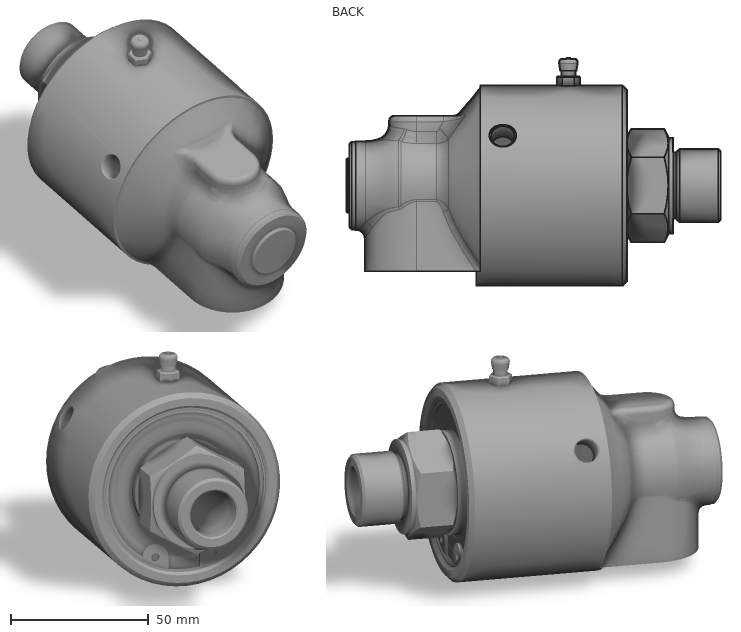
import cadquery as cq
import math


thread_radius = 13.3
thread_chamfer = 1.0
thread_end = 15.0
relief_radius = 12.1
relief_end = 17.3
collar_radius = 17.5
hex_start = 18.9
hex_end = 34.2
hex_corner_radius = 20.63
hex_flat_radius = hex_corner_radius * math.cos(math.radians(30))
hex_bevel_length = 1.6
journal_radius = 19.2
flow_bore_radius = 8.7
flow_bore_chamfer = 0.5

barrel_radius = 36.5
barrel_start = 34.0
barrel_end = 87.5
barrel_chamfer = 1.8
cone_root_x = 83.1
cone_radius = 35.5
cone_small_radius = 21.7
cone_small_x = 99.0
neck_radius = 19.55
neck_start = 103.5
neck_end = 116.3
taper_start = 117.3
taper_start_radius = 19.41
taper_start_slope = -0.26
tail_radius = 16.2
tail_start = 129.2
rim_start = 132.6
rim_radius = 16.0
tail_end = 135.1
rim_chamfer = 1.0
stub_radius = 10.0
stub_chamfer = 0.5
overall_length = 136.2

mouth_radius = 31.9
mouth_depth = 1.0
bore_radius = 30.9
seat_radius = 30.2
seat_x = 35.4
ledge_radius = 26.8
plate_radius = 25.3
clip_inner_radius = 28.9
clip_thickness = 1.2
clip_start = 36.1
ledge_x = clip_start + clip_thickness
plate_x = 37.6
seal_gap_radius = 20.63
seal_gap_end = plate_x + 0.5
journal_end = plate_x + 4.1
lug_offset_y = 10.9
lug_offset_z = -24.9
lug_radius = 4.9
lug_hole_diameter = 3.1

port_x = 110.7
block_half_width = 18.8
block_bottom = -31.2
block_overrun = 2.0
block_fillet = 2.7
lip_end = 89.0
boss_half_width = 10.0
boss_top = 25.5
boss_top_fillet = 2.2
boss_foot_fillet = 5.5

spanner_x = 79.3
spanner_angle = 30
spanner_diameter = 8.6
spanner_mouth_diameter = 9.8
spanner_depth = 8.5
spanner_bevel = 0.7

fitting_x = 55.4
fitting_corner_diameter = 8.6
fitting_hex_top = 39.8
fitting_hex_bevel = 0.4
fitting_neck_radius = 2.65
fitting_ball_radius = 3.4
fitting_ball_bottom = 41.8
fitting_ball_edge_radius = 3.0
fitting_ball_middle = 44.4
fitting_ball_top = 46.0
fitting_nipple_radius = 0.61
fitting_top = 46.5


def turned(outline):
    """Revolve an (x, radius) outline, drawn in the XY plane, about the X axis."""
    return outline.close().revolve(360, (0, 0, 0), (1, 0, 0))


def disc(radius, start, end):
    """Cylinder on the X axis between two stations."""
    return cq.Workplane("YZ", origin=(start, 0, 0)).circle(radius).extrude(end - start)


def make_rotor():
    stem = turned(
        cq.Workplane("XY")
        .moveTo(0, 0)
        .lineTo(0, thread_radius - thread_chamfer)
        .lineTo(thread_chamfer, thread_radius)
        .lineTo(thread_end, thread_radius)
        .lineTo(thread_end + thread_radius - relief_radius, relief_radius)
        .lineTo(relief_end, relief_radius)
        .lineTo(relief_end, collar_radius)
        .lineTo(hex_start, collar_radius)
        .lineTo(hex_start, 0)
    )
    hexagon = (
        cq.Workplane("YZ", origin=(hex_start, 0, 0))
        .polygon(6, 2 * hex_corner_radius)
        .extrude(hex_end - hex_start)
        .rotate((0, 0, 0), (1, 0, 0), 90)
    )
    bevelled_envelope = turned(
        cq.Workplane("XY")
        .moveTo(hex_start, 0)
        .lineTo(hex_start, collar_radius)
        .lineTo(hex_start + hex_bevel_length, hex_corner_radius)
        .lineTo(hex_end - hex_bevel_length, hex_corner_radius)
        .lineTo(hex_end, hex_flat_radius)
        .lineTo(hex_end, 0)
    )
    journal = disc(journal_radius, hex_end, journal_end)
    rotor = stem.union(hexagon.intersect(bevelled_envelope)).union(journal)
    flow_bore = disc(flow_bore_radius, 0, journal_end)
    bore_mouth = turned(
        cq.Workplane("XY")
        .moveTo(0, 0)
        .lineTo(0, flow_bore_radius + flow_bore_chamfer)
        .lineTo(flow_bore_chamfer, flow_bore_radius)
        .lineTo(flow_bore_chamfer, 0)
    )
    return rotor.cut(flow_bore).cut(bore_mouth)


def make_barrel():
    """Bevelled cylinder, with a lip left standing below the level of the outlet block."""
    barrel = turned(
        cq.Workplane("XY")
        .moveTo(barrel_start, 0)
        .lineTo(barrel_start, barrel_radius - barrel_chamfer)
        .lineTo(barrel_start + barrel_chamfer, barrel_radius)
        .lineTo(barrel_end, barrel_radius)
        .lineTo(barrel_end, 0)
    )
    below_block = cq.Workplane("XY", origin=(0, 0, block_bottom)).rect(
        2 * overall_length, 2 * barrel_radius
    ).extrude(-barrel_radius)
    return barrel.union(disc(barrel_radius, barrel_end, lip_end).intersect(below_block))


def make_cone_and_tail():
    """Cone, neck and tapered tail; the cone is continued into the barrel and trimmed later."""
    cone_slope = (cone_radius - cone_small_radius) / (cone_small_x - barrel_end)
    return turned(
        cq.Workplane("XY")
        .moveTo(cone_root_x, 0)
        .lineTo(cone_root_x, cone_radius + cone_slope * (barrel_end - cone_root_x))
        .lineTo(cone_small_x, cone_small_radius)
        .tangentArcPoint((neck_start, neck_radius), relative=False)
        .lineTo(neck_end, neck_radius)
        .tangentArcPoint((taper_start, taper_start_radius), relative=False)
        .spline(
            [(tail_start, tail_radius)],
            tangents=[(1, taper_start_slope), (1, 0)],
            includeCurrent=True,
        )
        .lineTo(rim_start, tail_radius)
        .lineTo(rim_start, rim_radius)
        .lineTo(tail_end - rim_chamfer, rim_radius)
        .lineTo(tail_end, rim_radius - rim_chamfer)
        .lineTo(tail_end, stub_radius)
        .lineTo(overall_length - stub_chamfer, stub_radius)
        .lineTo(overall_length, stub_radius - stub_chamfer)
        .lineTo(overall_length, 0)
    )


def round_ended_pad(half_width, start, bottom, top):
    """Vertical pad from x = start, closed by a half circle about the port axis."""
    return (
        cq.Workplane("XY", origin=(0, 0, bottom))
        .moveTo(start, -half_width)
        .lineTo(port_x, -half_width)
        .threePointArc((port_x + half_width, 0), (port_x, half_width))
        .lineTo(start, half_width)
        .close()
        .extrude(top - bottom)
    )


def side_seam(edge):
    """True for the upright or level lines where a pad's flat side meets its round end."""
    return abs(edge.Center().x - port_x) < 0.1


def add_outlet_block(body):
    """Join the block, made deeper than its final bottom so that its fillets run out past the trim."""
    start = cone_root_x + 1.4
    rough_bottom = block_bottom - block_overrun
    body = body.union(round_ended_pad(block_half_width, start, rough_bottom, 0))
    joint = cq.selectors.BoxSelector(
        (start, -barrel_radius, rough_bottom + 1.4), (tail_start + 1.4, barrel_radius, -1.4)
    )
    edges = [
        edge
        for edge in body.edges(joint).vals()
        if edge.geomType() != "CIRCLE" and not side_seam(edge)
    ]
    return body.newObject(edges).fillet(block_fillet)


def add_boss(body):
    body = body.union(round_ended_pad(boss_half_width, barrel_end, 0, boss_top))
    joint = cq.selectors.BoxSelector(
        (barrel_end, -boss_half_width - 1.4, neck_radius / 2),
        (tail_start, boss_half_width + 1.4, boss_top - boss_top_fillet),
    )
    foot = [edge for edge in body.edges(joint).vals() if not side_seam(edge)]
    body = body.newObject(foot).fillet(boss_foot_fillet)
    top_face = cq.selectors.BoxSelector(
        (cone_small_x, -boss_half_width, boss_top - 0.1),
        (tail_start, boss_half_width, boss_top + 0.1),
    )
    return body.faces(top_face).edges().fillet(boss_top_fillet)


def trim_rear(body):
    """Keep what lies behind the barrel, inside its outline and above the block's flat bottom."""
    above_bottom = cq.Workplane("XY", origin=(0, 0, block_bottom)).rect(
        2 * overall_length, 2 * barrel_radius
    ).extrude(2 * barrel_radius)
    return body.intersect(disc(barrel_radius, barrel_end, overall_length).intersect(above_bottom))


def cut_front_recess(body):
    recess = turned(
        cq.Workplane("XY")
        .moveTo(barrel_start, 0)
        .lineTo(barrel_start, mouth_radius)
        .lineTo(barrel_start + mouth_depth, bore_radius)
        .lineTo(seat_x, bore_radius)
        .lineTo(seat_x, seat_radius)
        .lineTo(ledge_x, seat_radius)
        .lineTo(ledge_x, ledge_radius)
        .lineTo(plate_x, plate_radius)
        .lineTo(plate_x, seal_gap_radius)
        .lineTo(seal_gap_end, seal_gap_radius)
        .lineTo(seal_gap_end, journal_radius)
        .lineTo(journal_end, journal_radius)
        .lineTo(journal_end, 0)
    )
    return body.cut(recess)


def add_clip(body):
    """Retaining ring with two eared ends and a gap between the ears."""
    ring = disc(seat_radius, clip_start, ledge_x).cut(disc(clip_inner_radius, clip_start, ledge_x))
    gap_width = 2 * (lug_offset_y - lug_radius)
    gap = cq.Workplane("XY").box(overall_length, gap_width, barrel_radius, centered=(False, True, False))
    ring = ring.cut(gap.translate((0, 0, -barrel_radius)))
    inside_bore = disc(seat_radius, clip_start, ledge_x)
    face = cq.Workplane("YZ", origin=(clip_start, 0, 0))
    for side in (-1, 1):
        lug_y = side * lug_offset_y
        ear = face.center(lug_y, lug_offset_z).circle(lug_radius).extrude(clip_thickness)
        root = (
            face.center(lug_y, (lug_offset_z - seat_radius) / 2)
            .rect(2 * lug_radius, seat_radius + lug_offset_z)
            .extrude(clip_thickness)
        )
        hole = face.center(lug_y, lug_offset_z).circle(lug_hole_diameter / 2).extrude(clip_thickness)
        ring = ring.union(ear.union(root).intersect(inside_bore)).cut(hole)
    return body.union(ring)


def cut_spanner_holes(body):
    for side in (-1, 1):
        angle = math.radians(spanner_angle)
        outward = cq.Vector(0, side * math.cos(angle), math.sin(angle))
        mouth = cq.Vector(spanner_x, 0, 0) + outward * barrel_radius
        plane = cq.Plane(origin=mouth, xDir=(1, 0, 0), normal=outward)
        hole = cq.Workplane(plane).circle(spanner_diameter / 2).extrude(-spanner_depth)
        bevel = (
            cq.Workplane(plane)
            .circle(spanner_mouth_diameter / 2)
            .workplane(offset=-spanner_bevel)
            .circle(spanner_diameter / 2)
            .loft()
        )
        body = body.cut(hole).cut(bevel)
    return body


def add_grease_fitting(body):
    seat = barrel_radius - 1.4
    hexagon = (
        cq.Workplane("XY", origin=(fitting_x, 0, seat))
        .polygon(6, fitting_corner_diameter)
        .extrude(fitting_hex_top - seat)
        .faces(">Z")
        .chamfer(fitting_hex_bevel)
    )
    head = (
        cq.Workplane("XZ", origin=(fitting_x, 0, 0))
        .moveTo(0, seat)
        .lineTo(fitting_neck_radius, seat)
        .lineTo(fitting_neck_radius, fitting_ball_bottom)
        .lineTo(fitting_ball_edge_radius, fitting_ball_bottom)
        .lineTo(fitting_ball_radius, fitting_ball_middle)
        .tangentArcPoint((fitting_neck_radius, fitting_ball_top), relative=False)
        .lineTo(fitting_nipple_radius, fitting_ball_top)
        .lineTo(fitting_nipple_radius, fitting_top)
        .lineTo(0, fitting_top)
        .close()
        .revolve(360, (0, 0, 0), (0, 1, 0))
    )
    return body.union(hexagon).union(head)


def make_housing():
    rear = add_boss(add_outlet_block(make_cone_and_tail()))
    housing = make_barrel().union(trim_rear(rear))
    housing = cut_front_recess(housing)
    housing = add_clip(housing)
    housing = cut_spanner_holes(housing)
    return add_grease_fitting(housing)


rotor = make_rotor()
housing = make_housing()

result = cq.Compound.makeCompound([rotor.val(), housing.val()])